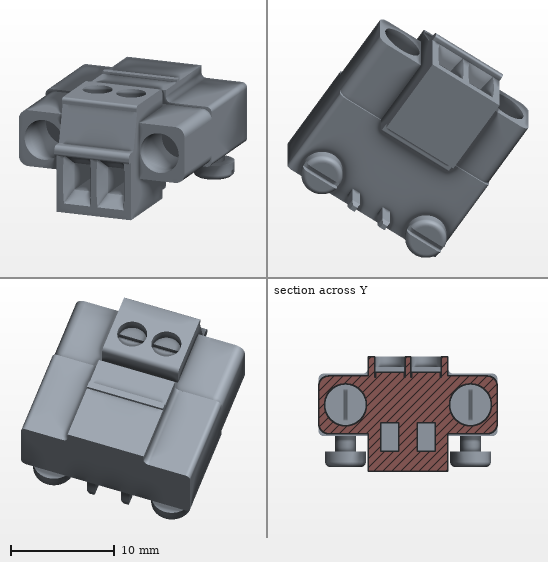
import cadquery as cq


WIDTH = 17.3
LENGTH = 18.7
HEIGHT = 11.1
CORE_WIDTH = 7.78

PARTING_Y = 9.52
HEADER_BOTTOM = 3.42
HEADER_SHOULDER = 9.46
HEADER_TOP = 10.68
HEADER_ROUND = 0.5
RIB_FRONT = 12.36
RIB_WIDTH = 0.65
RIB_HEIGHT = 0.28

FLANGE_FRONT = 2.62
FLANGE_BOTTOM = 3.63
FLANGE_TOP = 9.25
FLANGE_ROUND = 1.0

BODY_REAR = 8.6
BODY_FRONT = 0.58
REAR_STEP_HEIGHT = 0.86
REAR_STEP_ROUND = 0.19
TOP_REAR_ROUND = 0.5
TOP_FRONT = 1.98
TOP_FRONT_ROUND = 0.3
TOP_LIP_BOTTOM = 10.5
SLOPE_TOP_Y = 2.17
SLOPE_BOTTOM_Y = 1.22
LIP_TOP = 6.77
LIP_BOTTOM = 5.8
LIP_TOP_ROUND = 0.5
LIP_BOTTOM_ROUND = 0.2

POLE_PITCH = 3.5
CLAMP_Y = 5.89
CLAMP_HOLE_DIAMETER = 2.9
CLAMP_SCREW_DIAMETER = 2.8
CLAMP_RECESS = 1.0
CLAMP_HEAD_HEIGHT = 1.0
CLAMP_SLOT_WIDTH = 0.43
CLAMP_SLOT_DEPTH = 0.5

ENTRY_CORNER_WIDTH = 2.73
ENTRY_MIDDLE_WIDTH = 3.0
ENTRY_BOTTOM = 0.92
ENTRY_TOP = LIP_BOTTOM
FUNNEL_DEPTH = 1.37
PASSAGE_WIDTH = 1.68
PASSAGE_BOTTOM = 2.0
PASSAGE_TOP = 4.7
PASSAGE_END = CLAMP_Y + CLAMP_HOLE_DIAMETER / 2

SCREW_X = 6.04
FLANGE_SCREW_Z = (FLANGE_BOTTOM + FLANGE_TOP) / 2
FLANGE_HOLE_DIAMETER = 4.0
FLANGE_SCREW_DIAMETER = 3.9
FLANGE_HEAD_HEIGHT = 1.5
FLANGE_SLOT_WIDTH = 0.4
FLANGE_SLOT_DEPTH = 0.79

MOUNT_Y = 16.57
MOUNT_HEAD_DIAMETER = 4.0
MOUNT_SHANK_DIAMETER = 2.0
MOUNT_HEAD_BOTTOM = 0.43
MOUNT_HEAD_TOP = 1.93
MOUNT_HEAD_ROUND = 0.5
MOUNT_SLOT_WIDTH = 0.64
MOUNT_SLOT_DEPTH = 0.79

PIN_Y = 17.48
PIN_WIDTH = 0.88
PIN_TIP_WIDTH = 0.5
PIN_TAPER = 0.7


def block(x_size, x_centre, y_range, z_range):
    """Box centred on x_centre that fills the given Y and Z ranges."""
    y0, y1 = y_range
    z0, z1 = z_range
    corner = (x_centre - x_size / 2, y0, z0)
    return cq.Workplane("XY").box(x_size, y1 - y0, z1 - z0, centered=False).translate(corner)


def cylinder(diameter, start, direction, length):
    """Cylinder growing from start along direction."""
    return cq.Workplane(
        cq.Solid.makeCylinder(diameter / 2, length, cq.Vector(*start), cq.Vector(*direction))
    )


def make_header():
    """Rear housing with rounded corners, raised middle and a cross rib."""
    y_range = (PARTING_Y, LENGTH)
    base = block(WIDTH, 0, y_range, (HEADER_BOTTOM, HEADER_SHOULDER))
    base = base.edges("|Y").fillet(HEADER_ROUND)
    core = block(CORE_WIDTH, 0, y_range, (HEADER_BOTTOM, HEADER_TOP))
    rib_y = (RIB_FRONT, RIB_FRONT + RIB_WIDTH)
    rib = block(CORE_WIDTH, 0, rib_y, (HEADER_BOTTOM, HEADER_TOP + RIB_HEIGHT))
    header = base.union(core).union(rib)

    for side in (-1, 1):
        wall = side * CORE_WIDTH / 2
        outer = wall + side * HEADER_ROUND
        upper = HEADER_SHOULDER + HEADER_ROUND
        cove = block(HEADER_ROUND, (wall + outer) / 2, y_range, (HEADER_SHOULDER, upper))
        hollow = cylinder(2 * HEADER_ROUND, (outer, PARTING_Y, upper), (0, 1, 0), LENGTH - PARTING_Y)
        header = header.union(cove.cut(hollow))
    return header


def make_flanges():
    """Rounded bar that carries the two flange screws."""
    bar = block(WIDTH, 0, (FLANGE_FRONT, PARTING_Y), (FLANGE_BOTTOM, FLANGE_TOP))
    return bar.edges("|Y").fillet(FLANGE_ROUND)


def make_plug_body():
    """Central plug body extruded across its width from its side profile."""
    outline = [
        (PARTING_Y, FLANGE_TOP),
        (PARTING_Y, REAR_STEP_HEIGHT),
        (BODY_REAR, REAR_STEP_HEIGHT),
        (BODY_REAR, 0),
        (BODY_FRONT, 0),
        (BODY_FRONT, LIP_BOTTOM),
        (0, LIP_BOTTOM),
        (0, LIP_TOP),
        (SLOPE_BOTTOM_Y, LIP_TOP),
        (SLOPE_TOP_Y, TOP_LIP_BOTTOM),
        (TOP_FRONT, TOP_LIP_BOTTOM),
        (TOP_FRONT, HEIGHT),
        (BODY_REAR, HEIGHT),
        (BODY_REAR, FLANGE_TOP),
    ]
    body = cq.Workplane("YZ").polyline(outline).close().extrude(CORE_WIDTH / 2, both=True)
    rounds = [
        (PARTING_Y, REAR_STEP_HEIGHT, REAR_STEP_ROUND),
        (0, LIP_BOTTOM, LIP_BOTTOM_ROUND),
        (0, LIP_TOP, LIP_TOP_ROUND),
        (TOP_FRONT, HEIGHT, TOP_FRONT_ROUND),
        (BODY_REAR, HEIGHT, TOP_REAR_ROUND),
    ]
    for y, z, radius in rounds:
        body = body.edges(cq.selectors.NearestToPointSelector((0, y, z))).fillet(radius)
    return body


def make_wire_entry(x):
    """Void of one wire entry: bow-sided funnel and rectangular passage."""
    funnel_end = BODY_FRONT + FUNNEL_DEPTH
    corner = ENTRY_CORNER_WIDTH / 2
    bow = ENTRY_MIDDLE_WIDTH / 2
    middle_z = (ENTRY_BOTTOM + ENTRY_TOP) / 2
    passage_height = PASSAGE_TOP - PASSAGE_BOTTOM
    passage_middle_z = (PASSAGE_BOTTOM + PASSAGE_TOP) / 2
    funnel = (
        cq.Workplane("XZ", origin=(x, BODY_FRONT, 0))
        .moveTo(-corner, ENTRY_BOTTOM)
        .lineTo(corner, ENTRY_BOTTOM)
        .threePointArc((bow, middle_z), (corner, ENTRY_TOP))
        .lineTo(-corner, ENTRY_TOP)
        .threePointArc((-bow, middle_z), (-corner, ENTRY_BOTTOM))
        .close()
        .workplane(offset=-FUNNEL_DEPTH)
        .center(0, passage_middle_z)
        .rect(PASSAGE_WIDTH, passage_height)
        .loft(ruled=True)
    )
    passage = block(PASSAGE_WIDTH, x, (funnel_end, PASSAGE_END), (PASSAGE_BOTTOM, PASSAGE_TOP))
    return funnel.union(passage)


def add_clamp_screw(part, x):
    """Sink a slotted clamp screw into the top face."""
    head_top = HEIGHT - CLAMP_RECESS
    floor = head_top - CLAMP_HEAD_HEIGHT
    hole = cylinder(CLAMP_HOLE_DIAMETER, (x, CLAMP_Y, floor), (0, 0, 1), HEIGHT - floor)
    head = cylinder(CLAMP_SCREW_DIAMETER, (x, CLAMP_Y, floor), (0, 0, 1), CLAMP_HEAD_HEIGHT)
    slot_y = (CLAMP_Y - CLAMP_SLOT_WIDTH / 2, CLAMP_Y + CLAMP_SLOT_WIDTH / 2)
    slot = block(CLAMP_SCREW_DIAMETER, x, slot_y, (head_top - CLAMP_SLOT_DEPTH, head_top))
    return part.cut(hole).union(head.cut(slot))


def add_flange_screw(part, x):
    """Bore a flange from the front and seat a slotted screw at the parting plane."""
    head_front = PARTING_Y - FLANGE_HEAD_HEIGHT
    forward = (0, -1, 0)
    seat = (x, PARTING_Y, FLANGE_SCREW_Z)
    hole = cylinder(FLANGE_HOLE_DIAMETER, seat, forward, PARTING_Y - FLANGE_FRONT)
    head = cylinder(FLANGE_SCREW_DIAMETER, seat, forward, FLANGE_HEAD_HEIGHT)
    radius = FLANGE_SCREW_DIAMETER / 2
    slot_z = (FLANGE_SCREW_Z - radius, FLANGE_SCREW_Z + radius)
    slot = block(FLANGE_SLOT_WIDTH, x, (head_front, head_front + FLANGE_SLOT_DEPTH), slot_z)
    return part.cut(hole).union(head.cut(slot))


def make_mount_screw(x):
    """Slotted screw hanging from the header underside."""
    head_height = MOUNT_HEAD_TOP - MOUNT_HEAD_BOTTOM
    head = cylinder(MOUNT_HEAD_DIAMETER, (x, MOUNT_Y, MOUNT_HEAD_BOTTOM), (0, 0, 1), head_height)
    head = head.faces("<Z").edges().fillet(MOUNT_HEAD_ROUND)
    slot_y = (MOUNT_Y - MOUNT_SLOT_WIDTH / 2, MOUNT_Y + MOUNT_SLOT_WIDTH / 2)
    slot_z = (MOUNT_HEAD_BOTTOM, MOUNT_HEAD_BOTTOM + MOUNT_SLOT_DEPTH)
    slot = block(MOUNT_HEAD_DIAMETER, x, slot_y, slot_z)
    shank_length = HEADER_BOTTOM - MOUNT_HEAD_TOP
    shank = cylinder(MOUNT_SHANK_DIAMETER, (x, MOUNT_Y, MOUNT_HEAD_TOP), (0, 0, 1), shank_length)
    return head.cut(slot).union(shank)


def make_pin(x):
    """Square solder pin with a tapered tip."""
    tip = (
        cq.Workplane("XY", origin=(x, PIN_Y, 0))
        .rect(PIN_TIP_WIDTH, PIN_TIP_WIDTH)
        .workplane(offset=PIN_TAPER)
        .rect(PIN_WIDTH, PIN_WIDTH)
        .loft(ruled=True)
    )
    pin_y = (PIN_Y - PIN_WIDTH / 2, PIN_Y + PIN_WIDTH / 2)
    return tip.union(block(PIN_WIDTH, x, pin_y, (PIN_TAPER, HEADER_BOTTOM)))


result = make_header().union(make_flanges()).union(make_plug_body())

for pole_x in (-POLE_PITCH / 2, POLE_PITCH / 2):
    result = result.cut(make_wire_entry(pole_x))
    result = add_clamp_screw(result, pole_x)
    result = result.union(make_pin(pole_x))

for screw_x in (-SCREW_X, SCREW_X):
    result = add_flange_screw(result, screw_x)
    result = result.union(make_mount_screw(screw_x))